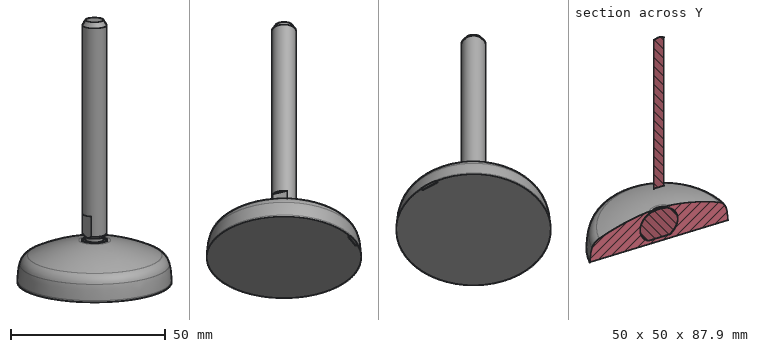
import cadquery as cq
import math

total_height = 87.9
foot_diameter = 50.0

foot_height = 14.1
rim_height = 0.7
shoulder_bottom_diameter = 48.5
shoulder_bottom_z = 6.0
dome_diameter = 43.5
dome_edge_z = 9.0
crown_diameter = 10.3
opening_diameter = 8.3

notch_width = 6.0
notch_height = 0.3
notch_depth = 1.0

shank_diameter = 8.0
neck_diameter = 6.0
neck_top_z = 15.2
tip_diameter = 5.8
tip_chamfer_height = 1.8
flats_across = 6.15
flats_top_z = 22.9
ball_diameter = 15.0
ball_center_z = 7.2
ball_bottom_z = 1.8

foot_radius = foot_diameter / 2
dome_radius = dome_diameter / 2
crown_radius = crown_diameter / 2
shank_radius = shank_diameter / 2
neck_radius = neck_diameter / 2
ball_radius = ball_diameter / 2
neck_bottom_z = ball_center_z + math.sqrt(ball_radius**2 - neck_radius**2)


def dome_arc_points():
    """Middle and end of a dome arc that is level on the stem axis."""
    drop = foot_height - dome_edge_z
    sphere_radius = (dome_radius**2 + drop**2) / (2 * drop)
    middle_radius = (dome_radius + crown_radius) / 2

    def point_at(radius):
        sphere_drop = sphere_radius - math.sqrt(sphere_radius**2 - radius**2)
        return (radius, foot_height - sphere_drop)

    return point_at(middle_radius), point_at(dome_radius)


def make_ball():
    """Ball cut flat at the bottom and ending at the neck; it also shapes the foot's socket."""
    bottom_radius = math.sqrt(ball_radius**2 - (ball_center_z - ball_bottom_z) ** 2)
    return (
        cq.Workplane("XZ")
        .moveTo(0, ball_bottom_z)
        .lineTo(bottom_radius, ball_bottom_z)
        .threePointArc((ball_radius, ball_center_z), (neck_radius, neck_bottom_z))
        .lineTo(0, neck_bottom_z)
        .close()
        .revolve(360, (0, 0, 0), (0, 1, 0))
    )


def make_foot():
    dome_middle, dome_edge = dome_arc_points()
    body = (
        cq.Workplane("XZ")
        .lineTo(foot_radius, 0)
        .lineTo(foot_radius, rim_height)
        .tangentArcPoint((shoulder_bottom_diameter / 2, shoulder_bottom_z), relative=False)
        .tangentArcPoint(dome_edge, relative=False)
        .threePointArc(dome_middle, (crown_radius, foot_height))
        .lineTo(0, foot_height)
        .close()
        .revolve(360, (0, 0, 0), (0, 1, 0))
    )
    opening = (
        cq.Workplane("XY", origin=(0, 0, ball_center_z))
        .circle(opening_diameter / 2)
        .extrude(foot_height - ball_center_z)
    )
    notch = (
        cq.Workplane("XY")
        .box(notch_depth, notch_width, notch_height, centered=(False, True, False))
        .translate((-foot_radius, 0, 0))
    )
    return body.cut(make_ball()).cut(opening).cut(notch)


def make_stem():
    body = (
        cq.Workplane("XZ")
        .moveTo(0, neck_bottom_z)
        .lineTo(neck_radius, neck_bottom_z)
        .lineTo(neck_radius, neck_top_z)
        .lineTo(shank_radius, neck_top_z + shank_radius - neck_radius)
        .lineTo(shank_radius, total_height - tip_chamfer_height)
        .lineTo(tip_diameter / 2, total_height)
        .lineTo(0, total_height)
        .close()
        .revolve(360, (0, 0, 0), (0, 1, 0))
    )
    flat_height = flats_top_z - neck_bottom_z
    for side in (-1, 1):
        flat_cutter = (
            cq.Workplane("XY")
            .box(shank_diameter, shank_diameter, flat_height, centered=(True, True, False))
            .translate((0, side * (flats_across + shank_diameter) / 2, neck_bottom_z))
        )
        body = body.cut(flat_cutter)
    return body.union(make_ball())


foot = make_foot()
stem = make_stem()

result = cq.Compound.makeCompound([foot.val(), stem.val()])